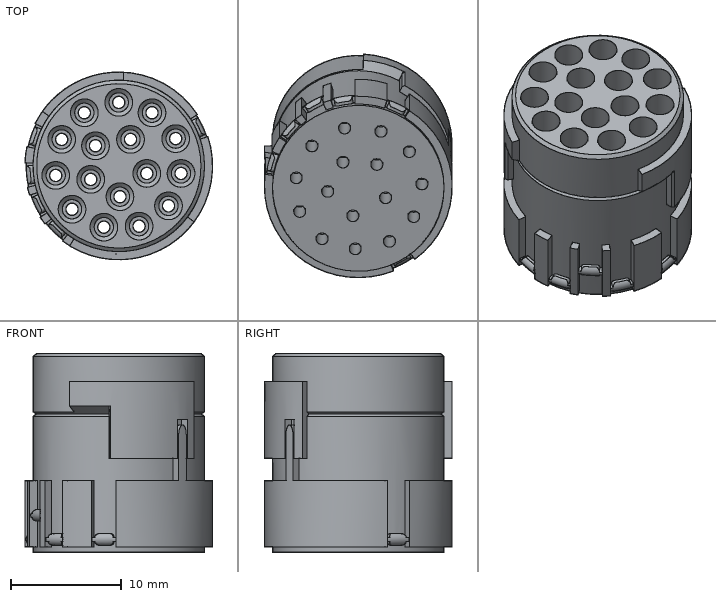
import cadquery as cq
import math

HEIGHT = 18.0
BODY_R = 7.75
TOP_CHAMFER_WIDTH = 0.32
TOP_CHAMFER_HEIGHT = 0.27

GROOVE_Z = 12.51
GROOVE_ROOT_R = 7.47
GROOVE_SLOPE = 0.7

FLANGE_R = 8.5
OVERLAP = 0.18
INNER_R = GROOVE_ROOT_R - OVERLAP

ARM_BOTTOM = GROOVE_Z + GROOVE_SLOPE * (FLANGE_R - GROOVE_ROOT_R)

RING_BOTTOM = 0.5
RING_TOP = 6.5
SLOT_ANGLE = 15.0

LOW_KEY_Z = 1.17
HIGH_KEY_Z = 3.35
KEYS = [
    (25.7, LOW_KEY_Z),
    (160.7, LOW_KEY_Z),
    (185.7, LOW_KEY_Z),
    (205.7, HIGH_KEY_Z),
    (225.7, LOW_KEY_Z),
    (260.7, LOW_KEY_Z),
]
KEY_HEIGHT = 1.06
KEY_WIDTH = 1.65
KEY_CORNER_R = 0.32
KEY_CROWN_R = 8.39
KEY_EDGE_R = 8.03
KEY_WEB_HEIGHT = 0.36

LUG_BOTTOM = 8.5
LUG_TOP = 15.46
FOOT_CHAMFER_DEPTH = 0.22
FOOT_CHAMFER_WIDTH = 0.16
FRONT_LUG_ARM_TIP = 238.5
FRONT_LUG_FOOT = 263.9
FRONT_LUG_END = 323.4
BACK_LUG_END = 87.0
BACK_LUG_FOOT = 131.0
BACK_LUG_ARM_TIP = 144.5

NOTCH_START = 308.9
NOTCH_END = 317.0
NOTCH_TOP = 12.02
RIB_MIDDLE = 312.8
RIB_WIDTH = 0.94
RIB_TOP = 11.52
RIB_NOSE_HEIGHT = 0.9

BORE_D = 2.5
BORE_DEPTH = 14.4
BORE_FLOOR_TAPER = 0.38
CONTACT_D = 1.08
OUTER_CONTACTS = [
    (0.0, 5.75), (3.0, 4.8), (5.15, 2.47), (5.63, -0.68), (4.5, -3.62), (1.84, -5.45),
    (-1.35, -5.55), (-4.23, -3.92), (-5.7, -0.86), (-5.17, 2.4), (-3.11, 4.8),
]
INNER_CONTACTS = [(1.06, 2.4), (2.54, -0.68), (0.1, -2.79), (-2.54, -1.22), (-2.1, 1.82)]


def sector(profile, start, end):
    """Turn an (r, z) profile about Z from one angle to another, counter-clockwise."""
    solid = cq.Workplane("XZ").polyline(profile).close().revolve(end - start, (0, 0), (0, 1))
    return solid.rotate((0, 0, 0), (0, 0, 1), start)


def ring_sector(inner, outer, bottom, top, start, end):
    """Part of a plain ring between two angles."""
    return sector([(inner, bottom), (outer, bottom), (outer, top), (inner, top)], start, end)


def radial_plane(angle, height):
    """Plane on the axis facing outward at an angle: local x is tangential, local y is up."""
    turn = math.radians(angle)
    return cq.Plane(
        origin=(0, 0, height),
        xDir=(-math.sin(turn), math.cos(turn), 0),
        normal=(math.cos(turn), math.sin(turn), 0),
    )


def make_body():
    """Cylinder chamfered at the top."""
    profile = [
        (0, 0),
        (BODY_R, 0),
        (BODY_R, HEIGHT - TOP_CHAMFER_HEIGHT),
        (BODY_R - TOP_CHAMFER_WIDTH, HEIGHT),
        (0, HEIGHT),
    ]
    return sector(profile, 0, 360)


def make_groove(start, end):
    """V-shaped cutter from the groove root outward; it also slopes the underside of a lug arm."""
    reach = FLANGE_R + OVERLAP
    half_opening = GROOVE_SLOPE * (reach - GROOVE_ROOT_R)
    profile = [
        (GROOVE_ROOT_R, GROOVE_Z),
        (reach, GROOVE_Z - half_opening),
        (reach, GROOVE_Z + half_opening),
    ]
    return sector(profile, start, end)


def make_keyed_ring():
    """Ring with one open slot per key."""
    ring = ring_sector(INNER_R, FLANGE_R, RING_BOTTOM, RING_TOP, 0, 360)
    for middle, _ in KEYS:
        half = SLOT_ANGLE / 2
        slot = ring_sector(
            INNER_R - OVERLAP,
            FLANGE_R + OVERLAP,
            RING_BOTTOM - OVERLAP,
            RING_TOP + OVERLAP,
            middle - half,
            middle + half,
        )
        ring = ring.cut(slot)
    return ring


def make_key(middle, height):
    """Rounded block with a crowned face, joined to both slot walls by a thin web."""
    plane = radial_plane(middle, height)
    web_width = 2 * BODY_R * math.sin(math.radians(SLOT_ANGLE / 2)) + OVERLAP
    block = cq.Workplane(plane).rect(KEY_WIDTH, KEY_HEIGHT).extrude(FLANGE_R)
    block = block.edges(cq.selectors.ParallelDirSelector(plane.zDir)).fillet(KEY_CORNER_R)
    web = cq.Workplane(plane).rect(web_width, KEY_WEB_HEIGHT).extrude(FLANGE_R)
    half = KEY_HEIGHT / 2
    crown = (
        cq.Workplane("XZ")
        .moveTo(INNER_R, height - half)
        .lineTo(KEY_EDGE_R, height - half)
        .threePointArc((KEY_CROWN_R, height), (KEY_EDGE_R, height + half))
        .lineTo(INNER_R, height + half)
        .close()
        .revolve(SLOT_ANGLE, (0, 0), (0, 1))
        .rotate((0, 0, 0), (0, 0, 1), middle - SLOT_ANGLE / 2)
    )
    return block.union(web).intersect(crown)


def make_arm(start, end):
    """Upper arm of a lug, reaching down to the middle of the groove."""
    return ring_sector(INNER_R, FLANGE_R, GROOVE_Z, LUG_TOP, start, end)


def make_foot(start, end):
    """Full-height part of a lug."""
    return ring_sector(INNER_R, FLANGE_R, LUG_BOTTOM, LUG_TOP, start, end)


def foot_chamfer(angle, side):
    """Cutter for the outer corner of a foot below the arm; side is +1 if the foot lies counter-clockwise."""
    cutter = (
        cq.Workplane("XY")
        .workplane(offset=LUG_BOTTOM)
        .moveTo(FLANGE_R - FOOT_CHAMFER_DEPTH, 0)
        .lineTo(FLANGE_R, side * FOOT_CHAMFER_WIDTH)
        .lineTo(FLANGE_R + OVERLAP, side * FOOT_CHAMFER_WIDTH)
        .lineTo(FLANGE_R + OVERLAP, 0)
        .close()
        .extrude(ARM_BOTTOM - LUG_BOTTOM)
    )
    return cutter.rotate((0, 0, 0), (0, 0, 1), angle)


def make_front_lug():
    """Lug with a long arm and a notch for the rib."""
    foot = make_foot(FRONT_LUG_FOOT, FRONT_LUG_END).cut(foot_chamfer(FRONT_LUG_FOOT, 1))
    notch = ring_sector(
        INNER_R - OVERLAP, FLANGE_R + OVERLAP, LUG_BOTTOM - OVERLAP, NOTCH_TOP, NOTCH_START, NOTCH_END
    )
    return foot.cut(notch).union(make_arm(FRONT_LUG_ARM_TIP, FRONT_LUG_FOOT))


def make_back_lug():
    """Lug with a short arm pointing the other way."""
    foot = make_foot(BACK_LUG_END, BACK_LUG_FOOT).cut(foot_chamfer(BACK_LUG_FOOT, -1))
    return foot.union(make_arm(BACK_LUG_FOOT, BACK_LUG_ARM_TIP))


def make_rib():
    """Upright rib with a half-ellipse nose and a face flush with the ring."""
    half = RIB_WIDTH / 2
    shoulder = RIB_TOP - RIB_NOSE_HEIGHT
    column = (
        cq.Workplane(radial_plane(RIB_MIDDLE, 0))
        .moveTo(-half, RING_BOTTOM)
        .lineTo(half, RING_BOTTOM)
        .lineTo(half, shoulder)
        .ellipseArc(half, RIB_NOSE_HEIGHT, 0, 180, startAtCurrent=True)
        .close()
        .extrude(FLANGE_R + OVERLAP)
    )
    return column.intersect(ring_sector(INNER_R, FLANGE_R, RING_BOTTOM, RIB_TOP, 0, 360))


def make_contact_holes():
    """Wide bores from the top with narrow holes through the floor."""
    centres = OUTER_CONTACTS + INNER_CONTACTS
    through = cq.Workplane("XY").pushPoints(centres).circle(CONTACT_D / 2).extrude(HEIGHT)
    bores = (
        cq.Workplane("XY")
        .workplane(offset=HEIGHT - BORE_DEPTH)
        .pushPoints(centres)
        .circle(BORE_D / 2)
        .extrude(BORE_DEPTH)
        .faces("<Z")
        .chamfer(BORE_FLOOR_TAPER)
    )
    return through.union(bores)


result = make_body().union(make_keyed_ring())
for key_angle, key_z in KEYS:
    result = result.union(make_key(key_angle, key_z))
result = result.union(make_front_lug()).union(make_back_lug()).union(make_rib())

result = result.cut(make_groove(BACK_LUG_FOOT, FRONT_LUG_FOOT))
result = result.cut(make_groove(FRONT_LUG_END, BACK_LUG_END + 360))
result = result.cut(make_contact_holes())